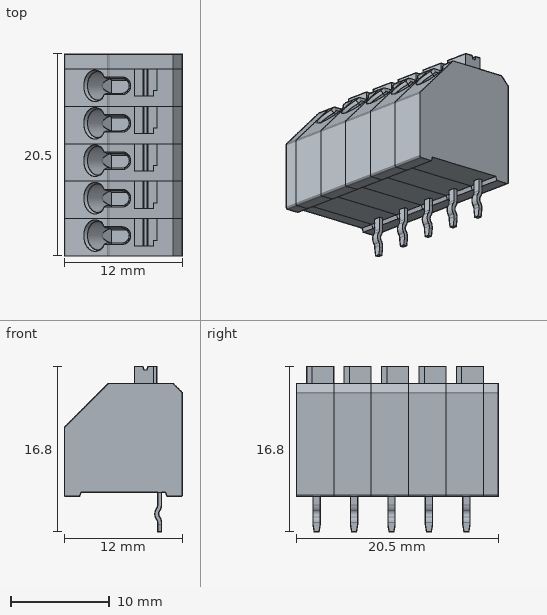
import cadquery as cq
import math


POLE_COUNT = 5
TOTAL_LENGTH = 20.5
PLATE_THICKNESS = 1.5
POLE_PITCH = (TOTAL_LENGTH - PLATE_THICKNESS) / POLE_COUNT

HOUSING_DEPTH = 12.0
HOUSING_HEIGHT = 11.49
SLOPE_SIZE = 4.47
BACK_CHAMFER = 0.95
FOOT_HEIGHT = 0.4
FOOT_BOTTOM_LENGTH = 1.55
FOOT_TOP_LENGTH = 1.72
EDGE_RADIUS = 0.18
BACK_EDGE_RADIUS = 0.1

WIRE_CENTER_Y = POLE_PITCH - 1.72
BORE_CENTER_X = 3.12
BORE_CENTER_Z = HOUSING_HEIGHT - SLOPE_SIZE + BORE_CENTER_X
BORE_RADIUS = 1.45
BORE_DEPTH = 3.6
MOUTH_RADIUS = 1.6
LEAD_IN_DEPTH = 0.39
RAMP_START_DEPTH = 2.5
RAMP_ANGLE = 12.0
FACET_INNER_OFFSET = 0.55
FACET_START_DEPTH = 2.58
KEYWAY_HALF_WIDTH = 0.75
KEYWAY_MOUTH_HALF_WIDTH = 0.9
KEYWAY_END_X = 5.85
KEYWAY_DEPTH = 2.87

BUTTON_FRONT_X = 7.12
BUTTON_BACK_X = 9.41
BUTTON_HEIGHT = 1.72
BUTTON_WIDTH = 2.77
NOTCH_DEPTH = 0.35
NOTCH_WIDTH = 0.55
GROOVE_CENTER_X = 8.25
GROOVE_TOP_WIDTH = 0.5
GROOVE_BOTTOM_WIDTH = 0.29
GROOVE_DEPTH = 0.35

PIN_FRONT_X = 9.48
PIN_THICKNESS = 0.4
PIN_WIDTH = 0.75
PIN_CENTER_Y = POLE_PITCH - 1.75
PIN_LENGTH = 3.59
PIN_TIP_WIDTH = 0.51
PIN_TIP_LENGTH = 0.75
BEND_CENTER_Z = -1.76
BEND_HALF_LENGTH = 0.88
BEND_OFFSET = 0.29


def box(x0, x1, y0, y1, z0, z1):
    """Box between the given limits."""
    return cq.Workplane("XY").box(x1 - x0, y1 - y0, z1 - z0, centered=False).translate((x0, y0, z0))


def housing_slab(y_start, thickness):
    """Slab with the housing profile, from y_start towards +Y."""
    slope_foot = (0, HOUSING_HEIGHT - SLOPE_SIZE)
    slope_top = (SLOPE_SIZE, HOUSING_HEIGHT)
    chamfer_top = (HOUSING_DEPTH - BACK_CHAMFER, HOUSING_HEIGHT)
    chamfer_foot = (HOUSING_DEPTH, HOUSING_HEIGHT - BACK_CHAMFER)
    front_foot = (0, 0)
    back_foot = (HOUSING_DEPTH, 0)
    outline = [
        front_foot,
        slope_foot,
        slope_top,
        chamfer_top,
        chamfer_foot,
        back_foot,
        (HOUSING_DEPTH - FOOT_BOTTOM_LENGTH, 0),
        (HOUSING_DEPTH - FOOT_TOP_LENGTH, FOOT_HEIGHT),
        (FOOT_TOP_LENGTH, FOOT_HEIGHT),
        (FOOT_BOTTOM_LENGTH, 0),
    ]
    slab = cq.Workplane("XZ", origin=(0, y_start, 0)).polyline(outline).close().extrude(-thickness)

    corner_radii = [(corner, EDGE_RADIUS) for corner in (front_foot, back_foot, slope_foot, slope_top)]
    corner_radii += [(corner, BACK_EDGE_RADIUS) for corner in (chamfer_top, chamfer_foot)]
    for (x, z), radius in corner_radii:
        edge_middle = (x, y_start + thickness / 2, z)
        slab = slab.edges(cq.NearestToPointSelector(edge_middle)).fillet(radius)
    return slab


def slope_plane():
    """Plane on the slope at the bore centre: local x up the slope, local z out of the housing."""
    return cq.Plane(
        origin=(BORE_CENTER_X, WIRE_CENTER_Y, BORE_CENTER_Z),
        xDir=(1, 0, 1),
        normal=(-1, 0, 1),
    )


def bore_section_plane(normal):
    """Plane through the bore axis: local x runs down the bore from its mouth."""
    return cq.Plane(
        origin=(BORE_CENTER_X, WIRE_CENTER_Y, BORE_CENTER_Z),
        xDir=(1, 0, -1),
        normal=normal,
    )


def wire_bore():
    """Bore with a conical lead-in and two flats that guide the wire near its end."""
    bore = cq.Workplane(slope_plane()).circle(BORE_RADIUS).extrude(-BORE_DEPTH)
    lead_in = (
        cq.Workplane(slope_plane())
        .circle(MOUTH_RADIUS)
        .workplane(offset=-LEAD_IN_DEPTH)
        .circle(BORE_RADIUS)
        .loft()
    )
    return bore.cut(bore_ramp()).cut(bore_facet()).union(lead_in)


def bore_ramp():
    """Wedge on the lower side of the bore, rising slowly towards the bore end."""
    run = BORE_DEPTH - RAMP_START_DEPTH
    rise = run * math.tan(math.radians(RAMP_ANGLE))
    return (
        cq.Workplane(bore_section_plane((0, -1, 0)))
        .moveTo(RAMP_START_DEPTH, -BORE_RADIUS)
        .line(run, 0)
        .line(0, rise)
        .close()
        .extrude(BORE_RADIUS, both=True)
    )


def bore_facet():
    """Wedge on the +Y side of the bore, leading inwards to the bore end."""
    return (
        cq.Workplane(bore_section_plane((1, 0, 1)))
        .polyline([
            (FACET_START_DEPTH, BORE_RADIUS),
            (BORE_DEPTH, FACET_INNER_OFFSET),
            (BORE_DEPTH, BORE_RADIUS),
        ])
        .close()
        .extrude(BORE_RADIUS, both=True)
    )


def keyway_mouth(plane, length):
    """Tapered slot of the given length along local x, sunk from the plane by the lead-in depth."""
    taper = math.degrees(math.atan((KEYWAY_MOUTH_HALF_WIDTH - KEYWAY_HALF_WIDTH) / LEAD_IN_DEPTH))
    return (
        cq.Workplane(plane)
        .center(length / 2, 0)
        .slot2D(length + 2 * KEYWAY_MOUTH_HALF_WIDTH, 2 * KEYWAY_MOUTH_HALF_WIDTH)
        .extrude(-LEAD_IN_DEPTH, taper=taper)
    )


def keyway():
    """Round-ended slot from the top face into the bore, with a bevelled mouth on slope and top."""
    length = KEYWAY_END_X - BORE_CENTER_X
    top_plane = cq.Plane(origin=(BORE_CENTER_X, WIRE_CENTER_Y, HOUSING_HEIGHT))
    slot = (
        cq.Workplane(top_plane)
        .center(length / 2, 0)
        .slot2D(length + 2 * KEYWAY_HALF_WIDTH, 2 * KEYWAY_HALF_WIDTH)
        .extrude(-KEYWAY_DEPTH)
    )
    slot = slot.intersect(box(BORE_CENTER_X, HOUSING_DEPTH, 0, POLE_PITCH, 0, HOUSING_HEIGHT))
    length_up_slope = math.sqrt(2) * (SLOPE_SIZE - BORE_CENTER_X)
    return (
        slot.union(keyway_mouth(top_plane, length))
        .union(keyway_mouth(slope_plane(), length_up_slope))
    )


def button():
    """Release button flush with the +Y side of its pole, with a notched corner and a top groove."""
    top = HOUSING_HEIGHT + BUTTON_HEIGHT
    y_front = POLE_PITCH - BUTTON_WIDTH
    block = box(BUTTON_FRONT_X, BUTTON_BACK_X, y_front, POLE_PITCH, HOUSING_HEIGHT, top)
    notch = box(
        BUTTON_BACK_X - NOTCH_DEPTH, BUTTON_BACK_X, y_front, y_front + NOTCH_WIDTH, HOUSING_HEIGHT, top
    )
    groove = (
        cq.Workplane("XZ")
        .polyline([
            (GROOVE_CENTER_X - GROOVE_TOP_WIDTH / 2, top),
            (GROOVE_CENTER_X + GROOVE_TOP_WIDTH / 2, top),
            (GROOVE_CENTER_X + GROOVE_BOTTOM_WIDTH / 2, top - GROOVE_DEPTH),
            (GROOVE_CENTER_X - GROOVE_BOTTOM_WIDTH / 2, top - GROOVE_DEPTH),
        ])
        .close()
        .extrude(-POLE_PITCH)
    )
    return block.cut(notch).cut(groove)


def pin():
    """Flat solder pin with a smooth bend towards -X and a tapered tip."""
    bend_angle = 2 * math.atan(BEND_OFFSET / BEND_HALF_LENGTH)
    center_radius = BEND_HALF_LENGTH / 2 / math.sin(bend_angle)
    inner_radius = center_radius - PIN_THICKNESS / 2
    outer_radius = center_radius + PIN_THICKNESS / 2
    bend_top = BEND_CENTER_Z + BEND_HALF_LENGTH
    bend_bottom = BEND_CENTER_Z - BEND_HALF_LENGTH
    back_x = PIN_FRONT_X + PIN_THICKNESS
    bulge_center_x = PIN_FRONT_X - BEND_OFFSET + outer_radius

    def bulge_point(radius, angle):
        return (bulge_center_x - radius * math.cos(angle), BEND_CENTER_Z + radius * math.sin(angle))

    side = (
        cq.Workplane("XZ", origin=(0, PIN_CENTER_Y, 0))
        .moveTo(PIN_FRONT_X, FOOT_HEIGHT)
        .lineTo(PIN_FRONT_X, bend_top)
        .tangentArcPoint(bulge_point(outer_radius, bend_angle), relative=False)
        .threePointArc(bulge_point(outer_radius, 0), bulge_point(outer_radius, -bend_angle))
        .tangentArcPoint((PIN_FRONT_X, bend_bottom), relative=False)
        .lineTo(PIN_FRONT_X, -PIN_LENGTH)
        .lineTo(back_x, -PIN_LENGTH)
        .lineTo(back_x, bend_bottom)
        .tangentArcPoint(bulge_point(inner_radius, -bend_angle), relative=False)
        .threePointArc(bulge_point(inner_radius, 0), bulge_point(inner_radius, bend_angle))
        .tangentArcPoint((back_x, bend_top), relative=False)
        .lineTo(back_x, FOOT_HEIGHT)
        .close()
        .extrude(PIN_WIDTH / 2, both=True)
    )
    taper_top = PIN_TIP_LENGTH - PIN_LENGTH
    face = (
        cq.Workplane("YZ")
        .polyline([
            (PIN_CENTER_Y - PIN_WIDTH / 2, FOOT_HEIGHT),
            (PIN_CENTER_Y - PIN_WIDTH / 2, taper_top),
            (PIN_CENTER_Y - PIN_TIP_WIDTH / 2, -PIN_LENGTH),
            (PIN_CENTER_Y + PIN_TIP_WIDTH / 2, -PIN_LENGTH),
            (PIN_CENTER_Y + PIN_WIDTH / 2, taper_top),
            (PIN_CENTER_Y + PIN_WIDTH / 2, FOOT_HEIGHT),
        ])
        .close()
        .extrude(HOUSING_DEPTH)
    )
    return side.intersect(face)


def pole():
    """One pole of the terminal block: housing, wire entry, button and pin in one solid."""
    housing = housing_slab(0, POLE_PITCH).cut(wire_bore()).cut(keyway())
    return housing.union(button()).union(pin())


def end_plate():
    """Plain plate that closes the row on the +Y side."""
    return housing_slab(POLE_COUNT * POLE_PITCH, PLATE_THICKNESS)


first_pole = pole()
poles = [first_pole.translate((0, index * POLE_PITCH, 0)) for index in range(POLE_COUNT)]

result = cq.Compound.makeCompound([*[body.val() for body in poles], end_plate().val()])